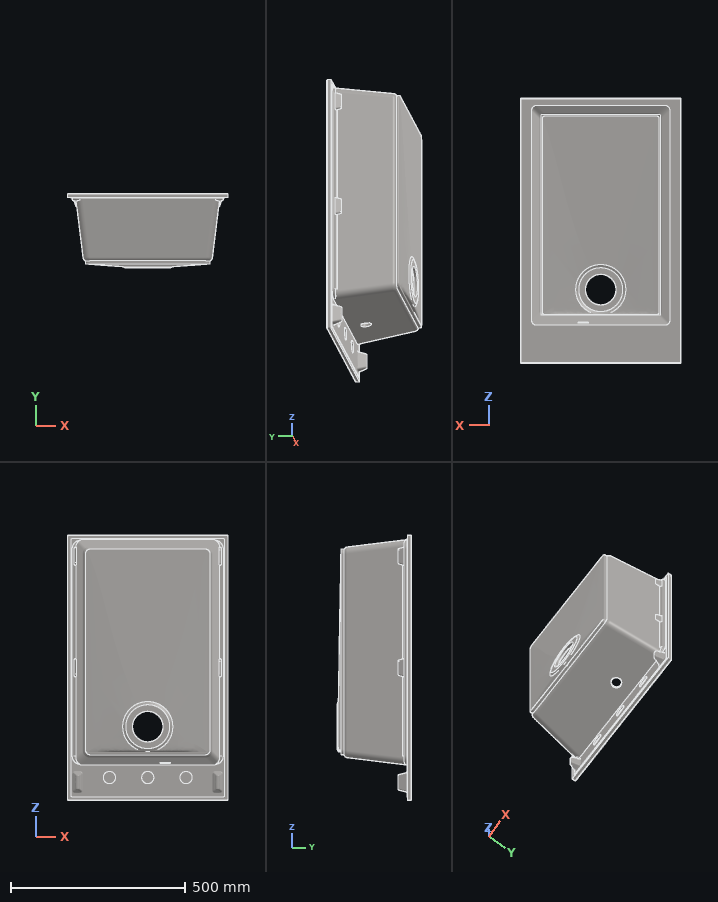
import cadquery as cq
import math


PLATE_WIDTH = 461.05
PLATE_HEIGHT = 761.05
PLATE_THICKNESS = 12.5
PLATE_CORNER_RADIUS = 3.0
SHOW_EDGE_CHAMFER = 2.0
STEP_INSET = 10.0
STEP_HEIGHT = 1.0
STEP_CORNER_RADIUS = 4.0
STEP_DEPTH = PLATE_THICKNESS + STEP_HEIGHT

BOWL_HALF_WIDTH = 207.0
BOWL_TOP = 368.0
BOWL_BOTTOM = -279.5
BOWL_CENTRE_Z = (BOWL_TOP + BOWL_BOTTOM) / 2
BOWL_HALF_HEIGHT = (BOWL_TOP - BOWL_BOTTOM) / 2
BOWL_CORNER_RADIUS = 20.0
WALL_DRAFT_ANGLE = 7.0
WALL_DRAFT = math.tan(math.radians(WALL_DRAFT_ANGLE))
WALL_THICKNESS = 10.0
LEDGE_DEPTH = 195.0
BOTTOM_FILLET = 12.0
INNER_CORNER_RADIUS = 15.0
INNER_BOTTOM_FILLET = 8.0

PANEL_DEPTH = 203.5
INNER_FLOOR_DEPTH = PANEL_DEPTH - WALL_THICKNESS
PANEL_HALF_WIDTH = 179.0
PANEL_TOP = 341.0
PANEL_BOTTOM = -250.0
PANEL_CENTRE_Z = (PANEL_TOP + PANEL_BOTTOM) / 2
PANEL_HALF_HEIGHT = (PANEL_TOP - PANEL_BOTTOM) / 2
PANEL_CORNER_RADIUS = 15.0
PANEL_EDGE_RADIUS = 3.0

DISH_INSET = 7.5
TOTAL_DEPTH = 215.0
DRAIN_Z = -169.0
DISH_DEPTH = 211.0
DRAIN_SEAT_OUTER_RADIUS = 72.0
DRAIN_SEAT_INNER_RADIUS = 63.0
DRAIN_HOLE_DIAMETER = 87.0
UPPER_SEAM_ANGLE = math.radians(64.5)
LOWER_SEAM_ANGLE = math.radians(-23.0)
LOWER_SEAM_BOW = 8.0
UPPER_SEAM_BOWS = ((0.12, -3.0), (0.5, 4.5), (0.85, 6.0))

SHOULDER_HALF_WIDTH = 217.0
SHOULDER_END_INSET = 1.5
SHOULDER_CORNER_RADIUS = 26.0
SHOULDER_DEPTH = 21.5
SHOULDER_EDGE_RADIUS = 5.0
SHOULDER_COVE_SIZE = 5.0
SHOULDER_COVE_OVERLAP = 1.0

BLOCK_X = 201.0
BLOCK_Z_POSITIONS = (320.0, 0.0, -329.0)
BLOCK_DEPTH = 39.5
BLOCK_BASE_WIDTH = 26.0
BLOCK_BASE_LENGTH = 57.0
BLOCK_TIP_WIDTH = 10.0
BLOCK_TIP_LENGTH = 44.0
BLOCK_EDGE_RADIUS = 5.0
BLOCK_TIP_RADIUS = 5.0
BLOCK_FOOT_RADIUS = 4.0

TAP_RECESS_DIAMETER = 35.0
TAP_RECESS_DEPTH = 5.0
TAP_RECESS_SPACING = 110.0
TAP_RECESS_COUNT = 3
TAP_RECESS_Z = -315.0

OVERFLOW_DIAMETER = 30.0
OVERFLOW_X = 50.0
OVERFLOW_DEPTH = 64.0
OVERFLOW_REACH = 25.0

JOIN_TOLERANCE = 0.001


def plane_at(depth, x=0.0, z=0.0):
    """XZ plane at a depth below the show face; its normal points toward -Y."""
    return cq.Workplane("XZ", origin=(x, -depth, z))


def bowl_body(start_depth, end_depth, inset, corner_radius, bottom_radius):
    """Drafted, rounded body that follows the bowl walls, moved inward by inset."""
    spread = WALL_DRAFT * (STEP_DEPTH - start_depth) - inset
    width = 2 * (BOWL_HALF_WIDTH + spread)
    height = BOWL_TOP - BOWL_BOTTOM + 2 * spread
    body = plane_at(start_depth, z=BOWL_CENTRE_Z).rect(width, height)
    body = body.extrude(end_depth - start_depth, taper=WALL_DRAFT_ANGLE)
    body = body.edges("not(#Y)").fillet(corner_radius)
    return body.faces("<Y").edges().fillet(bottom_radius)


def rounded_slab(start_depth, end_depth, half_width, half_height, centre_z, corner_radius):
    slab = plane_at(start_depth, z=centre_z).rect(2 * half_width, 2 * half_height)
    return slab.extrude(end_depth - start_depth).edges("|Y").fillet(corner_radius)


def rim():
    plate = rounded_slab(0, PLATE_THICKNESS, PLATE_WIDTH / 2, PLATE_HEIGHT / 2, 0, PLATE_CORNER_RADIUS)
    plate = plate.faces(">Y").edges().chamfer(SHOW_EDGE_CHAMFER)
    step_half_width = PLATE_WIDTH / 2 - STEP_INSET
    step_half_height = PLATE_HEIGHT / 2 - STEP_INSET
    step = rounded_slab(
        PLATE_THICKNESS, STEP_DEPTH, step_half_width, step_half_height, 0, STEP_CORNER_RADIUS
    )
    return plate.union(step)


def shoulder():
    half_height = BOWL_HALF_HEIGHT - SHOULDER_END_INSET
    slab = rounded_slab(
        PLATE_THICKNESS,
        SHOULDER_DEPTH,
        SHOULDER_HALF_WIDTH,
        half_height,
        BOWL_CENTRE_Z,
        SHOULDER_CORNER_RADIUS,
    )
    return slab.faces("<Y").edges().fillet(SHOULDER_EDGE_RADIUS)


def shoulder_cove(side):
    """Concave blend between the shoulder and one side wall (side is -1 or 1)."""
    wall_x = BOWL_HALF_WIDTH - WALL_DRAFT * (SHOULDER_DEPTH - STEP_DEPTH)
    outer_x = wall_x + SHOULDER_COVE_SIZE
    inner_x = wall_x - WALL_THICKNESS / 2
    tip_depth = SHOULDER_DEPTH + SHOULDER_COVE_SIZE
    bulge = SHOULDER_COVE_SIZE * (1 - math.sqrt(0.5))
    root_depth = SHOULDER_DEPTH - SHOULDER_COVE_OVERLAP
    length = 2 * (BOWL_HALF_HEIGHT - SHOULDER_CORNER_RADIUS)
    cove = (
        cq.Workplane("XY", origin=(0, 0, BOWL_CENTRE_Z - length / 2))
        .moveTo(side * inner_x, -root_depth)
        .lineTo(side * outer_x, -root_depth)
        .lineTo(side * outer_x, -SHOULDER_DEPTH)
        .threePointArc((side * (wall_x + bulge), -SHOULDER_DEPTH - bulge), (side * wall_x, -tip_depth))
        .lineTo(side * inner_x, -tip_depth)
        .close()
    )
    return cove.extrude(length)


def clamp_block(x, z):
    """Tapered block with rounded edges and a filleted foot that is sunk into the step."""
    height = BLOCK_DEPTH - STEP_DEPTH
    block = (
        plane_at(STEP_DEPTH, x, z)
        .rect(BLOCK_BASE_WIDTH, BLOCK_BASE_LENGTH)
        .workplane(offset=height)
        .rect(BLOCK_TIP_WIDTH, BLOCK_TIP_LENGTH)
        .loft(ruled=True)
    )
    block = block.edges("not(#Y)").fillet(BLOCK_EDGE_RADIUS)
    block = block.faces("<Y").edges().fillet(BLOCK_TIP_RADIUS)
    footing = rounded_slab(
        PLATE_THICKNESS - STEP_HEIGHT,
        STEP_DEPTH,
        BLOCK_BASE_WIDTH / 2 + BLOCK_FOOT_RADIUS,
        BLOCK_BASE_LENGTH / 2 + BLOCK_FOOT_RADIUS,
        0,
        BLOCK_EDGE_RADIUS + BLOCK_FOOT_RADIUS,
    )
    block = block.union(footing.translate((x, 0, z)))
    reach_x = (BLOCK_BASE_WIDTH + BLOCK_FOOT_RADIUS) / 2
    reach_z = (BLOCK_BASE_LENGTH + BLOCK_FOOT_RADIUS) / 2
    reach_y = STEP_HEIGHT / 2
    around_base = cq.selectors.BoxSelector(
        (x - reach_x, -STEP_DEPTH - reach_y, z - reach_z),
        (x + reach_x, -STEP_DEPTH + reach_y, z + reach_z),
        boundingbox=True,
    )
    return block.edges(around_base).fillet(BLOCK_FOOT_RADIUS)


def floor_panel():
    panel = rounded_slab(
        LEDGE_DEPTH - BOTTOM_FILLET,
        PANEL_DEPTH,
        PANEL_HALF_WIDTH,
        PANEL_HALF_HEIGHT,
        PANEL_CENTRE_Z,
        PANEL_CORNER_RADIUS,
    )
    return panel.faces("<Y").edges().fillet(PANEL_EDGE_RADIUS)


def drain_point(angle):
    x = DRAIN_SEAT_OUTER_RADIUS * math.cos(angle)
    z = DRAIN_Z + DRAIN_SEAT_OUTER_RADIUS * math.sin(angle)
    return cq.Vector(x, -DISH_DEPTH, z)


def floor_dish():
    """Solid of four curved faces falling from the panel's rectangle to the drain circle."""
    half_width = PANEL_HALF_WIDTH - DISH_INSET
    half_height = PANEL_HALF_HEIGHT - DISH_INSET
    lower_bow = cq.Vector(0, 0, LOWER_SEAM_BOW)

    corner_signs = ((1, 1), (-1, 1), (-1, -1), (1, -1))
    seam_angles = (
        UPPER_SEAM_ANGLE,
        math.pi - UPPER_SEAM_ANGLE,
        math.pi - LOWER_SEAM_ANGLE,
        2 * math.pi + LOWER_SEAM_ANGLE,
    )
    corners = []
    seams = []
    for (sign_x, sign_z), angle in zip(corner_signs, seam_angles):
        corner = cq.Vector(sign_x * half_width, -PANEL_DEPTH, PANEL_CENTRE_Z + sign_z * half_height)
        foot = drain_point(angle)
        if sign_z > 0:
            bowed = [
                corner + (foot - corner) * fraction + cq.Vector(sign_x * bow, 0, 0)
                for fraction, bow in UPPER_SEAM_BOWS
            ]
            seam = cq.Edge.makeSpline([corner, *bowed, foot])
        else:
            seam = cq.Edge.makeThreePointArc(corner, (corner + foot) * 0.5 + lower_bow, foot)
        corners.append(corner)
        seams.append(seam)

    rim_edges = []
    drain_edges = []
    faces = []
    for index, angle in enumerate(seam_angles):
        following = (index + 1) % len(corners)
        next_angle = seam_angles[following]
        if next_angle < angle:
            next_angle += 2 * math.pi
        rim_edge = cq.Edge.makeLine(corners[index], corners[following])
        drain_edge = cq.Edge.makeThreePointArc(
            drain_point(angle), drain_point((angle + next_angle) / 2), drain_point(next_angle)
        )
        boundary = [rim_edge, seams[following], drain_edge, seams[index]]
        faces.append(cq.Face.makeNSidedSurface(boundary, []))
        rim_edges.append(rim_edge)
        drain_edges.append(drain_edge)
    for loop in (rim_edges, drain_edges):
        faces.append(cq.Face.makeFromWires(cq.Wire.assembleEdges(loop)))
    return cq.Workplane(cq.Solid.makeSolid(cq.Shell.makeShell(faces)))


def drain_seat():
    """Conical seat around the drain, on the underside of the dish."""
    seat = plane_at(DISH_DEPTH, z=DRAIN_Z).circle(DRAIN_SEAT_OUTER_RADIUS)
    seat = seat.workplane(offset=TOTAL_DEPTH - DISH_DEPTH).circle(DRAIN_SEAT_INNER_RADIUS)
    return seat.loft()


def cavity():
    """Open inside of the bowl, following the outer walls, dished floor and drain seat."""
    inside = bowl_body(0, INNER_FLOOR_DEPTH, WALL_THICKNESS, INNER_CORNER_RADIUS, INNER_BOTTOM_FILLET)
    for recess in (floor_dish(), drain_seat()):
        inside = inside.union(recess.translate((0, WALL_THICKNESS, 0)), tol=JOIN_TOLERANCE)
    return inside


def drain_hole():
    return plane_at(0, z=DRAIN_Z).circle(DRAIN_HOLE_DIAMETER / 2).extrude(TOTAL_DEPTH)


def tap_recesses():
    recesses = plane_at(STEP_DEPTH - TAP_RECESS_DEPTH, z=TAP_RECESS_Z)
    recesses = recesses.rarray(TAP_RECESS_SPACING, 1, TAP_RECESS_COUNT, 1)
    return recesses.circle(TAP_RECESS_DIAMETER / 2).extrude(TAP_RECESS_DEPTH)


def overflow_hole():
    """Vertical hole through the lower wall, centred on the outer wall face."""
    wall_z = BOWL_BOTTOM + WALL_DRAFT * (OVERFLOW_DEPTH - STEP_DEPTH)
    hole = cq.Workplane("XY", origin=(OVERFLOW_X, -OVERFLOW_DEPTH, wall_z))
    return hole.circle(OVERFLOW_DIAMETER / 2).extrude(OVERFLOW_REACH, both=True)


def sink():
    body = rim().union(shoulder())
    body = body.union(bowl_body(PLATE_THICKNESS, LEDGE_DEPTH, 0, BOWL_CORNER_RADIUS, BOTTOM_FILLET))
    body = body.union(floor_panel())
    body = body.union(floor_dish(), tol=JOIN_TOLERANCE)
    body = body.union(drain_seat(), tol=JOIN_TOLERANCE)
    for side in (-1, 1):
        body = body.union(shoulder_cove(side))
        for z in BLOCK_Z_POSITIONS:
            body = body.union(clamp_block(side * BLOCK_X, z))
    body = body.cut(cavity())
    body = body.cut(drain_hole())
    body = body.cut(tap_recesses())
    return body.cut(overflow_hole())


result = sink().solids()